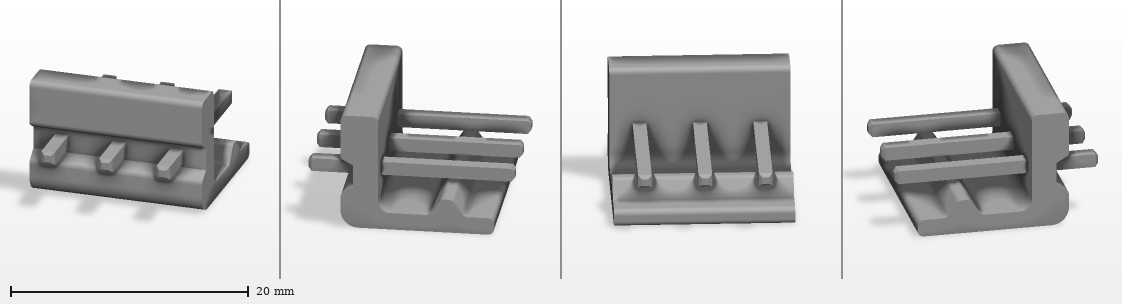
import cadquery as cq
import math


pin_count = 3
pin_pitch = 5.08
pin_width = 1.16
pin_length = 17.5
pin_front_reach = 3.0
pin_height = 4.7
pin_tip_chamfer = 0.27

housing_length = pin_count * pin_pitch
housing_depth = 13.0
housing_height = 10.2
base_thickness = 1.5
wall_thickness = 3.2
edge_radius = 0.5
heel_radius = 1.5
inner_corner_radius = 1.0

channel_depth = 1.05
channel_floor_bottom = 3.7
channel_floor_top = 5.68
channel_lower_slope = 35
channel_upper_slope = 30

ridge_centre = 9.0
ridge_height = 1.5
ridge_base_width = 3.0
ridge_flank_slope = 55


def rise(run, slope):
    """Height gained over a horizontal run at a slope in degrees."""
    return run * math.tan(math.radians(slope))


def unit_vector(start, end):
    length = math.dist(start, end)
    return (end[0] - start[0]) / length, (end[1] - start[1]) / length


def add_rounded_corner(profile, previous, corner, following, radius):
    """Draw to a corner of the outline and round it with a tangent arc."""
    back = unit_vector(corner, previous)
    ahead = unit_vector(corner, following)
    half_angle = math.acos(back[0] * ahead[0] + back[1] * ahead[1]) / 2
    setback = radius / math.tan(half_angle)
    bisector = unit_vector((0, 0), (back[0] + ahead[0], back[1] + ahead[1]))
    apex_offset = radius / math.sin(half_angle) - radius
    arc_start = (corner[0] + setback * back[0], corner[1] + setback * back[1])
    arc_middle = (corner[0] + apex_offset * bisector[0], corner[1] + apex_offset * bisector[1])
    arc_end = (corner[0] + setback * ahead[0], corner[1] + setback * ahead[1])
    return profile.lineTo(*arc_start).threePointArc(arc_middle, arc_end)


def make_housing():
    lower_lip = channel_floor_bottom - rise(channel_depth, channel_lower_slope)
    upper_lip = channel_floor_top + rise(channel_depth, channel_upper_slope)
    ridge_top = base_thickness + ridge_height
    ridge_base_half = ridge_base_width / 2
    ridge_top_half = ridge_base_half - ridge_height / math.tan(math.radians(ridge_flank_slope))

    corners = [
        ((channel_depth, channel_floor_top), 0),
        ((0, upper_lip), edge_radius),
        ((0, housing_height), edge_radius),
        ((wall_thickness, housing_height), edge_radius),
        ((wall_thickness, base_thickness), inner_corner_radius),
        ((ridge_centre - ridge_base_half, base_thickness), edge_radius),
        ((ridge_centre - ridge_top_half, ridge_top), edge_radius),
        ((ridge_centre + ridge_top_half, ridge_top), edge_radius),
        ((ridge_centre + ridge_base_half, base_thickness), edge_radius),
        ((housing_depth, base_thickness), edge_radius),
        ((housing_depth, 0), edge_radius),
        ((0, 0), heel_radius),
        ((0, lower_lip), edge_radius),
        ((channel_depth, channel_floor_bottom), 0),
    ]
    points = [point for point, radius in corners]
    profile = cq.Workplane("YZ").moveTo(*points[0])
    for index in range(1, len(corners)):
        point, radius = corners[index]
        if radius > 0:
            following = points[(index + 1) % len(points)]
            profile = add_rounded_corner(profile, points[index - 1], point, following, radius)
        else:
            profile = profile.lineTo(*point)
    return profile.close().extrude(housing_length / 2, both=True)


def make_pin(x):
    pin_middle = pin_length / 2 - pin_front_reach
    return (
        cq.Workplane("XY")
        .box(pin_width, pin_length, pin_width)
        .faces("<Y or >Y")
        .chamfer(pin_tip_chamfer)
        .translate((x, pin_middle, pin_height))
    )


result = make_housing()
for index in range(pin_count):
    result = result.union(make_pin((index - (pin_count - 1) / 2) * pin_pitch))